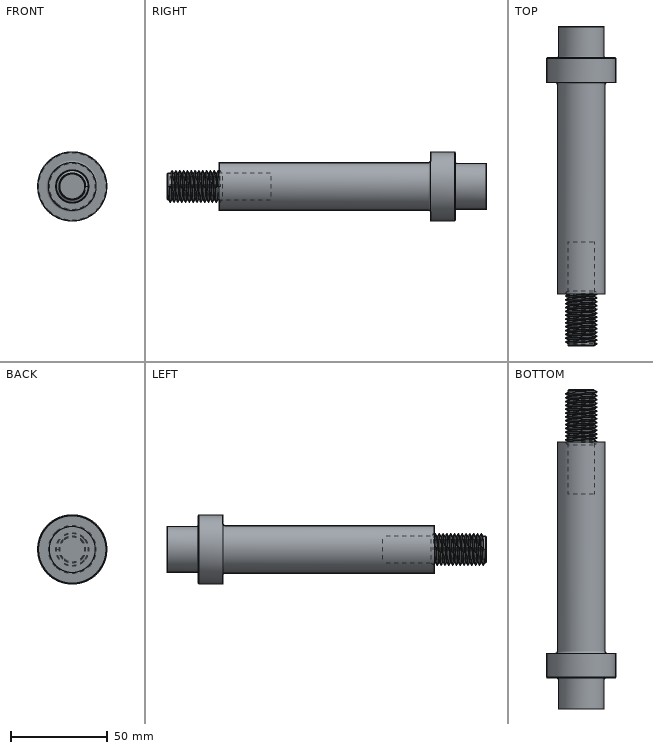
import cadquery as cq

total_length = 166.0
pin_length = 16.1
collar_length = 13.0
stud_exposed_length = 27.0
shaft_length = total_length - pin_length - collar_length - stud_exposed_length
pin_end_y = collar_length + pin_length
shaft_end_y = -shaft_length

pin_radius = 23.9 / 2
collar_radius = 36.0 / 2
shaft_radius = 24.9 / 2
core_radius = 14.0 / 2
crest_radius = 16.6 / 2
countersink_radius = 17.3 / 2

collar_chamfer = 0.5
pin_fillet = 0.5
shoulder_fillet = 1.0
tip_chamfer = 0.5

socket_depth = stud_exposed_length
countersink_depth = countersink_radius - core_radius
socket_floor_y = shaft_end_y + socket_depth

thread_pitch = 2.0
thread_turns = 13
thread_length = thread_pitch * thread_turns
ridge_base_width = 1.5
ridge_root_depth = 0.2


def make_collared_pin():
    """Shaft with collar and plain pin, and a countersunk socket in the shaft end."""
    profile = (
        cq.Workplane("YZ")
        .moveTo(pin_end_y, 0)
        .lineTo(pin_end_y, pin_radius)
        .lineTo(collar_length + pin_fillet, pin_radius)
        .tangentArcPoint((collar_length, pin_radius + pin_fillet), relative=False)
        .lineTo(collar_length, collar_radius - collar_chamfer)
        .lineTo(collar_length - collar_chamfer, collar_radius)
        .lineTo(0, collar_radius)
        .lineTo(0, shaft_radius + shoulder_fillet)
        .radiusArc((-shoulder_fillet, shaft_radius), shoulder_fillet)
        .lineTo(shaft_end_y, shaft_radius)
        .lineTo(shaft_end_y, countersink_radius)
        .lineTo(shaft_end_y + countersink_depth, core_radius)
        .lineTo(socket_floor_y, core_radius)
        .lineTo(socket_floor_y, 0)
        .close()
    )
    return profile.revolve(360, (0, 0, 0), (1, 0, 0))


def helix_edge(radius, axial_offset):
    """Right-hand helix about Y that starts on +X at the shaft end and winds towards -Y."""
    helix = cq.Wire.makeHelix(thread_pitch, thread_length, radius)
    helix = helix.rotate(cq.Vector(0, 0, 0), cq.Vector(1, 0, 0), 90)
    return helix.translate(cq.Vector(0, shaft_end_y + axial_offset, 0))


def ridge_end_face(corners, centre_y):
    """Triangular end face of the ridge, in the plane through the axis on the +X side."""
    points = [cq.Vector(radius, centre_y + offset, 0) for radius, offset in corners]
    return cq.Face.makeFromWires(cq.Wire.makePolygon(points, close=True))


def make_thread_ridge():
    """Sharp-crested helical ridge whose flanks run on a little way into the core."""
    root_radius = core_radius - ridge_root_depth
    flank_slope = ridge_base_width / 2 / (crest_radius - core_radius)
    root_half_width = flank_slope * (crest_radius - root_radius)

    corners = [
        (root_radius, root_half_width),
        (crest_radius, 0),
        (root_radius, -root_half_width),
    ]
    helices = [helix_edge(radius, offset) for radius, offset in corners]
    next_helices = helices[1:] + helices[:1]
    flanks_and_base = [cq.Face.makeRuledSurface(a, b) for a, b in zip(helices, next_helices)]
    ends = [ridge_end_face(corners, y) for y in (shaft_end_y, shaft_end_y - thread_length)]
    return cq.Solid.makeSolid(cq.Shell.makeShell(flanks_and_base + ends)).fix()


def make_stud():
    """Stud with a plain end in the socket and a thread ridge on its exposed half."""
    core_length = socket_depth + stud_exposed_length
    core = cq.Workplane("XZ", origin=(0, socket_floor_y, 0)).circle(core_radius).extrude(core_length)
    core = core.faces("<Y").chamfer(tip_chamfer)
    return core.union(cq.Workplane(obj=make_thread_ridge()))


collared_pin = make_collared_pin()
stud = make_stud()

result = cq.Compound.makeCompound([collared_pin.val(), *stud.solids().vals()])